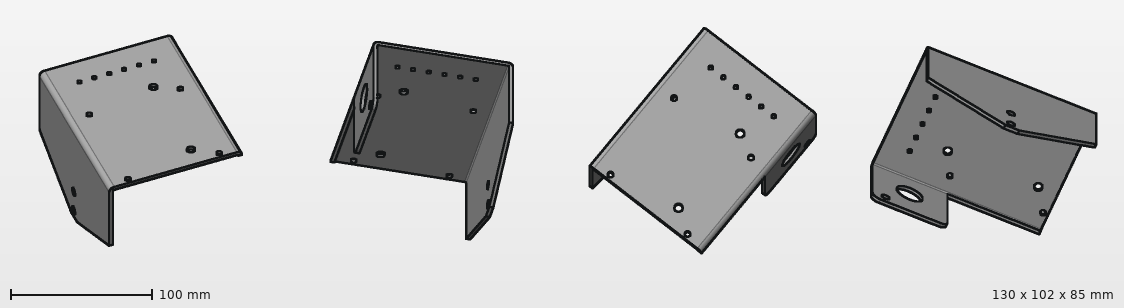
import cadquery as cq

length = 130.0
width = 102.0
height = 85.0
thickness = 3.0
inner_bend_radius = 1.0
outer_bend_radius = inner_bend_radius + thickness

left = -length / 2
front = -width / 2
cut_margin = 1.3

taper_start_z = -56.0
tip_width = 10.7
front_hole_diameter = 6.0
front_hole_x = -1.0
front_hole_top_z = -61.0
front_hole_spacing = 18.0

back_length = 58.0
back_height = 59.0
back_corner_radius = 6.0
shaft_hole_diameter = 20.0
shaft_hole_x = left + 28.6
shaft_hole_z = -29.2
back_hole_diameter = 6.0
back_hole_x = left + 10.0
back_hole_z = -51.4

row_hole_diameter = 3.0
row_hole_count = 6
row_hole_spacing = 11.5
row_x = left + 20.2
corner_hole_diameter = 4.0
corner_spacing_x = 72.0
corner_spacing_y = 70.0
corner_center_x = left + 90.0
large_hole_diameter = 6.0
large_hole_spacing = 70.0
large_center_x = left + 80.0
large_hole_y = 18.0


def channel():
    """Top plate and the two bends, with full-length flange roots."""
    def block(inset, bend_radius):
        depth = outer_bend_radius + cut_margin
        return (
            cq.Workplane("XY")
            .box(length, width - 2 * inset, depth, centered=(True, True, False))
            .translate((0, 0, -depth - inset))
            .edges("|X and >Z")
            .fillet(bend_radius)
        )

    root = block(0, outer_bend_radius).cut(block(thickness, inner_bend_radius))
    trim = cq.Workplane("XY").box(length, width, outer_bend_radius, centered=(True, True, False))
    return root.intersect(trim.translate((0, 0, -outer_bend_radius)))


def front_flange():
    """Plate below the front bend, tapered symmetrically to its tip."""
    return (
        cq.Workplane("XZ", origin=(0, front + thickness, 0))
        .moveTo(left, -outer_bend_radius)
        .lineTo(left, taper_start_z)
        .lineTo(-tip_width / 2, -height)
        .lineTo(tip_width / 2, -height)
        .lineTo(-left, taper_start_z)
        .lineTo(-left, -outer_bend_radius)
        .close()
        .extrude(thickness)
    )


def back_flange():
    """Short plate below the back bend, starting at the left end."""
    return (
        cq.Workplane("XY")
        .box(back_length, thickness, back_height - outer_bend_radius, centered=False)
        .translate((left, -front - thickness, -back_height))
        .edges("|Y and <Z")
        .fillet(back_corner_radius)
    )


def top_holes(diameter, points):
    """Vertical cutters through the top plate."""
    return (
        cq.Workplane("XY", origin=(0, 0, cut_margin))
        .pushPoints(points)
        .circle(diameter / 2)
        .extrude(-thickness - 2 * cut_margin)
    )


def flange_holes(outer_y, inward, diameter, points):
    """Cutters along Y through the flange whose outer face is at outer_y."""
    return (
        cq.Workplane("XZ", origin=(0, outer_y - inward * cut_margin, 0))
        .pushPoints(points)
        .circle(diameter / 2)
        .extrude(-inward * (thickness + 2 * cut_margin))
    )


row_points = [
    (row_x, (i - (row_hole_count - 1) / 2) * row_hole_spacing)
    for i in range(row_hole_count)
]
corner_points = [
    (corner_center_x + sx * corner_spacing_x / 2, sy * corner_spacing_y / 2)
    for sx in (-1, 1)
    for sy in (-1, 1)
]
large_points = [
    (large_center_x + sx * large_hole_spacing / 2, large_hole_y)
    for sx in (-1, 1)
]
front_points = [
    (front_hole_x, front_hole_top_z - i * front_hole_spacing)
    for i in range(2)
]

result = channel().union(front_flange()).union(back_flange())
result = result.cut(top_holes(row_hole_diameter, row_points))
result = result.cut(top_holes(corner_hole_diameter, corner_points))
result = result.cut(top_holes(large_hole_diameter, large_points))
result = result.cut(flange_holes(front, 1, front_hole_diameter, front_points))
result = result.cut(flange_holes(-front, -1, shaft_hole_diameter, [(shaft_hole_x, shaft_hole_z)]))
result = result.cut(flange_holes(-front, -1, back_hole_diameter, [(back_hole_x, back_hole_z)]))